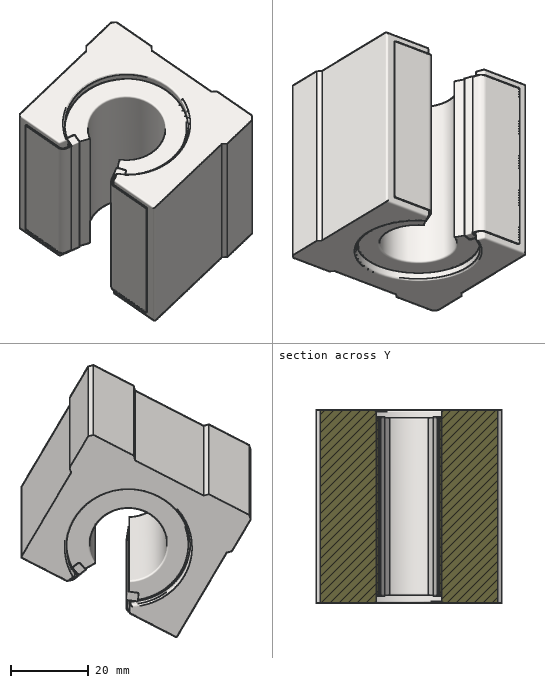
import cadquery as cq
import math

length = 50.0
shoulder_half_width = 24.0
back_y = 23.0
front_y = -16.0
step = 1.0
body_half_width = shoulder_half_width - step
shoulder_bottom_y = 12.0
relief_half_width = 10.1
housing_edge_radius = 0.5

slot_angle = math.radians(22.0)
slot_front_half_width = 9.15

sleeve_radius = 16.0
shaft_radius = 10.0
sleeve_length = 46.0
opening_half_angle = math.radians(30.0)
sleeve_edge_radius = 0.5

seal_angle = math.radians(20.5)
seal_start_x = 6.25
seal_start_y = -11.35
seal_block_width = 2.75
seal_block_depth = 2.4
seal_block_length = 46.4
seal_block_corner_radius = 0.4
seal_block_edge_radius = 0.25
lip_thickness = 0.3
lip_length = sleeve_length
lip_bend_radius = 1.95
pad_outer_x = 20.6
pad_corner_radius = 0.4

slot_top_half_width = slot_front_half_width + front_y * math.tan(slot_angle)

seal_start = cq.Vector(seal_start_x, seal_start_y)
seal_face_direction = cq.Vector(math.sin(seal_angle), -math.cos(seal_angle))
seal_inward = cq.Vector(math.cos(seal_angle), math.sin(seal_angle))


def prism(outline, height):
    """Extrude a closed XY outline equally above and below Z = 0."""
    return outline.extrude(height / 2, both=True)


def polygon(corners):
    """Closed XY outline through the given vectors."""
    return cq.Workplane().polyline([(corner.x, corner.y) for corner in corners]).close()


def make_housing():
    half_outline = [
        (0, back_y - step),
        (relief_half_width, back_y - step),
        (relief_half_width + step, back_y),
        (shoulder_half_width - step, back_y),
        (shoulder_half_width, back_y - step),
        (shoulder_half_width, shoulder_bottom_y),
        (body_half_width, shoulder_bottom_y - step),
        (body_half_width, front_y),
        (0, front_y),
    ]
    block = prism(cq.Workplane().polyline(half_outline).mirrorY(), length)
    bore = prism(cq.Workplane().circle(sleeve_radius), length)
    slot_outline = [
        cq.Vector(-slot_front_half_width, front_y),
        cq.Vector(slot_front_half_width, front_y),
        cq.Vector(slot_top_half_width, 0),
        cq.Vector(-slot_top_half_width, 0),
    ]
    block = block.cut(bore).cut(prism(polygon(slot_outline), length))
    return round_housing_edges(block)


def round_housing_edges(block):
    """Round the front faces all round, and both ends of the bore and of the slot walls."""
    slot_region = cq.selectors.BoxSelector(
        (-slot_front_half_width, front_y + housing_edge_radius, -length),
        (slot_front_half_width, -sleeve_radius / 2, length),
    )
    front_edges = block.faces("<Y").edges()
    bore_edges = block.edges("%CIRCLE")
    slot_end_edges = block.edges(slot_region).edges("#Z").edges("%LINE")
    rounded_edges = front_edges.add(bore_edges).add(slot_end_edges).vals()
    return block.newObject(rounded_edges).fillet(housing_edge_radius)


def make_seal_block():
    width = seal_inward * seal_block_width
    depth = seal_face_direction * seal_block_depth
    block = prism(
        polygon([seal_start, seal_start + width, seal_start + width + depth, seal_start + depth]),
        seal_block_length,
    )
    hidden_corner = (seal_start + width).toTuple()
    block = block.edges(cq.selectors.NearestToPointSelector(hidden_corner)).fillet(seal_block_corner_radius)
    exposed_face_middle = (seal_start + depth * 0.5).toTuple()
    exposed_face = block.faces(cq.selectors.NearestToPointSelector(exposed_face_middle))
    return exposed_face.edges("#Z").fillet(seal_block_edge_radius)


def make_lip_and_pad():
    """Thin strip running from the seal block along the slot, around the bend and over the front."""
    pad_front_y = front_y - lip_thickness
    bend_corner = cq.Vector(seal_start.x + (seal_start.y - pad_front_y) * math.tan(seal_angle), pad_front_y)
    setback = lip_bend_radius * math.tan((math.pi / 2 - seal_angle) / 2)
    lip_start = seal_start + seal_face_direction * seal_block_depth
    lip_start_back = lip_start + seal_inward * lip_thickness
    bend_start = bend_corner - seal_face_direction * setback
    bend_start_back = bend_start + seal_inward * lip_thickness
    bend_end_x = bend_corner.x + setback
    outline = (
        cq.Workplane()
        .moveTo(pad_outer_x, pad_front_y)
        .lineTo(bend_end_x, pad_front_y)
        .tangentArcPoint((bend_start.x, bend_start.y), relative=False)
        .lineTo(lip_start.x, lip_start.y)
        .lineTo(lip_start_back.x, lip_start_back.y)
        .lineTo(bend_start_back.x, bend_start_back.y)
        .tangentArcPoint((bend_end_x, front_y), relative=False)
        .lineTo(pad_outer_x, front_y)
        .close()
    )
    return prism(outline, lip_length).faces(">X").edges("|Y").fillet(pad_corner_radius)


def make_sleeve(seals):
    """Ring with rounded ends, opened towards the front and recessed for the seal blocks."""
    ring = prism(cq.Workplane().circle(sleeve_radius).circle(shaft_radius), sleeve_length)
    ring = ring.faces("|Z").edges().fillet(sleeve_edge_radius)
    opening_half_width = sleeve_radius * math.tan(opening_half_angle)
    opening_outline = [
        cq.Vector(0, 0),
        cq.Vector(-opening_half_width, -sleeve_radius),
        cq.Vector(opening_half_width, -sleeve_radius),
    ]
    sleeve = ring.cut(prism(polygon(opening_outline), sleeve_length))
    for seal in seals:
        sleeve = sleeve.cut(seal)
    return sleeve


housing = make_housing()

right_seal = make_seal_block().union(make_lip_and_pad())
seals = [right_seal, right_seal.mirror("YZ")]

sleeve = make_sleeve(seals)

result = cq.Compound.makeCompound([housing.val(), sleeve.val(), *[seal.val() for seal in seals]])